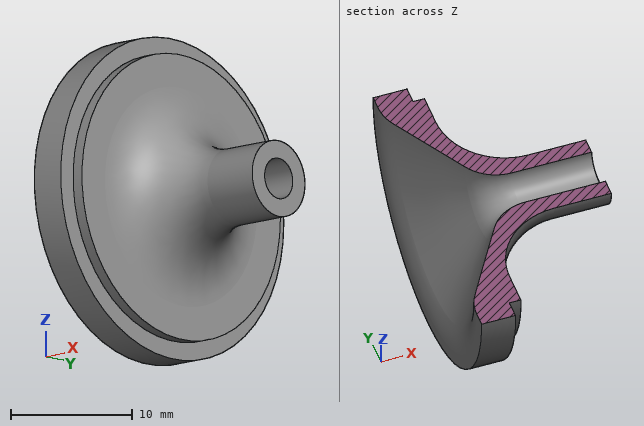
import cadquery as cq
import math

flange_diameter = 27.0
flange_thickness = 3.0
step_diameter = 24.0
step_thickness = 1.0
stem_diameter = 6.4
neck_radius = 6.0
total_length = 15.0

mouth_diameter = 24.5
hole_diameter = 3.4
bore_round = 4.0
throat_depth = 8.0


def outer_body():
    """Flange, step and stem, with a concave neck blending step into stem."""
    stem_radius = stem_diameter / 2
    step_face = flange_thickness + step_thickness
    neck_end = step_face + neck_radius
    neck_offset = neck_radius * (1 - math.sqrt(0.5))
    profile = (
        cq.Workplane("XY")
        .lineTo(0, flange_diameter / 2)
        .lineTo(flange_thickness, flange_diameter / 2)
        .lineTo(flange_thickness, step_diameter / 2)
        .lineTo(step_face, step_diameter / 2)
        .lineTo(step_face, stem_radius + neck_radius)
        .threePointArc((step_face + neck_offset, stem_radius + neck_offset), (neck_end, stem_radius))
        .lineTo(total_length, stem_radius)
        .lineTo(total_length, 0)
        .close()
    )
    return profile.revolve(360, (0, 0, 0), (1, 0, 0))


def flared_bore():
    """Bore whose cone is tangent to the equal rounds at the lip and throat."""
    lip_center = (bore_round, mouth_diameter / 2)
    throat_center = (throat_depth, hole_diameter / 2 + bore_round)
    cone_angle = math.atan2(throat_center[0] - lip_center[0], lip_center[1] - throat_center[1])

    def on_round(center, angle):
        return (center[0] - bore_round * math.cos(angle), center[1] - bore_round * math.sin(angle))

    throat_middle_angle = (cone_angle + math.pi / 2) / 2
    profile = (
        cq.Workplane("XY")
        .lineTo(0, mouth_diameter / 2)
        .threePointArc(on_round(lip_center, cone_angle / 2), on_round(lip_center, cone_angle))
        .lineTo(*on_round(throat_center, cone_angle))
        .threePointArc(on_round(throat_center, throat_middle_angle), (throat_depth, hole_diameter / 2))
        .lineTo(total_length, hole_diameter / 2)
        .lineTo(total_length, 0)
        .close()
    )
    return profile.revolve(360, (0, 0, 0), (1, 0, 0))


result = outer_body().cut(flared_bore())